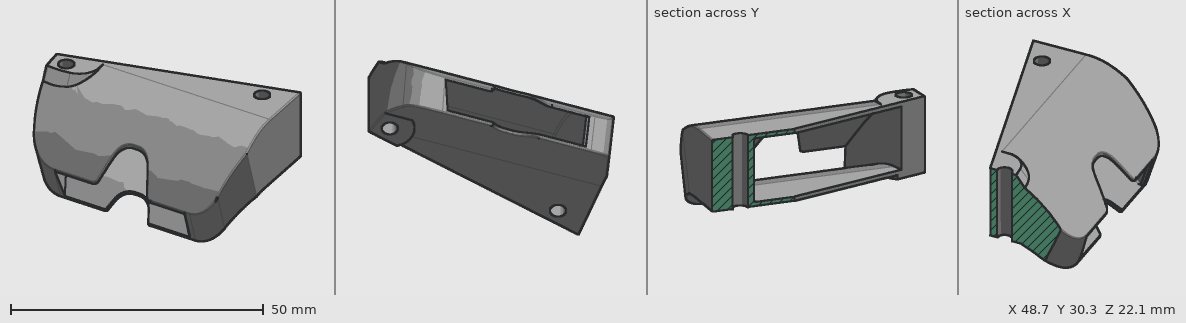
import cadquery as cq
import math


width = 48.72
back_right_y = 30.33
back_angle = 15.0
back_left_y = back_right_y - width * math.tan(math.radians(back_angle))
bottom_z = -22.35
floor_z = -15.2
margin = 10.0

mouth_tilt = 17.0
mouth_top_z = -14.35
rim_trim = 0.028
roof_start_y = 18.67
floor_start_y = 16.5
roof_curve = [(11.02, -2.3), (5.15, -7.04)]
floor_curve = [(5.74, -19.1), (9.55, -16.95)]
roof_end_slope = 57.0
floor_end_slope = 46.0
loft_depth = -28.0
left_middle_upper = (0.6, 11.8)
left_bend_upper = (2.8, 0.6)
left_mouth_upper_x = 9.3
left_middle_lower = (1.6, 5.2)
left_bend_lower = (3.75, 1.3)
left_mouth_lower_x = 10.55
right_shoulder_y = 8.9
right_bend = (46.3, -0.5)
right_mouth_x = 41.4
left_corner_radius = 6.9
right_corner_radius = 5.3

top_wall = 0.97
floor_wall = 0.96
cavity_roof_curve = [(10.5, -3.4), (4.8, -8.35)]
cavity_floor_curve = [(5.3, -18.4), (9.2, -16.1)]
mouth_roof_wall = 0.55
mouth_floor_wall = 0.92
inlet_left_x = 5.67
cavity_right_x = 39.75
mouth_left_top_x = 6.1
mouth_left_bottom_x = 12.2
cavity_edge_radius = 0.4
mouth_flare = 0.5

notch_x = 25.58
notch_tilt = 2.0
notch_apex_y = 5.3
notch_apex_half = 2.88
notch_flare = 0.52
notch_radius = 3.7

hole_diameter = 3.2
left_hole = (3.67, 15.1)
right_hole = (42.66, 25.57)
boss_left = (-4.0, 13.7)
boss_front = (3.67, 12.53)
boss_shoulder = (6.0, 12.75)
boss_right = (9.95, 16.6)
boss_taper = 37.0
boss_depth = 4.0
lower_boss_radius = 4.9
lower_boss_z = -16.08

edge_radius = 0.3
roof_lip_corner_radius = 1.4
roof_lip_corners = [(19.7, 0, -14.6), (31.3, 0, -14.6)]
floor_lip_corner_radius = 0.4
floor_lip_corners = [(20.7, 2.3, -21.9), (30.3, 2.3, -21.9)]
roof_rim = [
    (0.2, 15, 0),
    (0.6, 11.7, -1.2),
    (2, 7, -5),
    (6, 1.5, -12),
    (14, 0, -14.35),
    (20.8, 2, -11.1),
    (22.8, 4.9, -7.3),
    (25.5, 5.5, -6.6),
    (28.2, 4.9, -7.3),
    (30.2, 2, -11.1),
    (37, 0, -14.35),
    (44, 1, -12),
    (47.5, 6, -6),
    (48.72, 14, -1),
    (48.72, 24, 0),
]
floor_rim = [
    (0.6, 14.4, -16.08),
    (2.5, 9, -17),
    (6, 4, -21),
    (15.5, 2.4, -22.3),
    (21.3, 3.3, -21.4),
    (22.9, 5.4, -19.4),
    (25.5, 6, -18.9),
    (28.1, 5.4, -19.4),
    (29.7, 3.3, -21.4),
    (35.5, 2.4, -22.3),
    (44, 3.5, -21),
    (47.5, 9.5, -17),
    (48.72, 15, -15.3),
    (48.72, 23, -15.2),
]


def mouth_y(z):
    """Y of the mouth plane at height z."""
    return (mouth_top_z - z) * math.tan(math.radians(mouth_tilt)) - rim_trim


def leaning_plane(tilt):
    """Plane through the origin whose normal leans forward by the tilt angle."""
    lean = math.radians(tilt)
    return cq.Plane(origin=(0, 0, 0), xDir=(1, 0, 0), normal=(0, -math.sin(lean), math.cos(lean)))


def leaning_prism(points, tilt):
    """Leaning prism whose outline, where it crosses z = 0, has the given points."""
    shrink = math.cos(math.radians(tilt))
    outline = [(x, y * shrink) for x, y in points]
    height = 2 * (margin - bottom_z)
    return cq.Workplane(leaning_plane(tilt)).polyline(outline).close().extrude(height, both=True)


def upright_prism(points):
    """Upright prism taller than the part."""
    height = 2 * (margin - bottom_z)
    return cq.Workplane("XY").polyline(points).close().extrude(height, both=True)


def side_profile(roof_points, floor_points, back_y):
    """Side section between a roof curve and a floor curve, extruded along X.

    Both curves are level at the rear and reach their end slopes at the mouth.
    """
    roof_slope = math.radians(roof_end_slope)
    floor_slope = math.radians(floor_end_slope)
    roof_tangents = [(-1, 0), (-math.cos(roof_slope), -math.sin(roof_slope))]
    floor_tangents = [(math.cos(floor_slope), math.sin(floor_slope)), (1, 0)]
    roof_z = roof_points[0][1]
    base_z = floor_points[-1][1]
    return (
        cq.Workplane("YZ")
        .moveTo(back_y, roof_z)
        .lineTo(*roof_points[0])
        .spline(roof_points[1:], tangents=roof_tangents, includeCurrent=True)
        .lineTo(*floor_points[0])
        .spline(floor_points[1:], tangents=floor_tangents, includeCurrent=True)
        .lineTo(back_y, base_z)
        .close()
        .extrude(width)
    )


def nose_outline(depth, left_middle, left_bend, left_mouth_x):
    """Closed outline of the nose across its leaning direction, at a depth along it."""
    lean = math.radians(mouth_tilt)
    front_y = mouth_y(0) * math.cos(lean)
    rear_y = (back_right_y + margin) * math.cos(lean)
    back_corner_y = (back_left_y + depth * math.sin(lean)) / math.cos(lean)
    middle = (left_middle[0], left_middle[1] * math.cos(lean))
    bend = (left_bend[0], left_bend[1] * math.cos(lean))
    return (
        cq.Workplane(leaning_plane(mouth_tilt))
        .workplane(offset=depth)
        .moveTo(0, rear_y)
        .lineTo(0, back_corner_y)
        .spline([middle, bend], includeCurrent=True)
        .radiusArc((left_mouth_x, front_y), -left_corner_radius)
        .lineTo(right_mouth_x, front_y)
        .radiusArc((right_bend[0], right_bend[1] * math.cos(lean)), -right_corner_radius)
        .lineTo(width, right_shoulder_y * math.cos(lean))
        .lineTo(width, rear_y)
        .close()
        .val()
    )


def plan_limit():
    """Body bounded by the side walls, the mouth plane and the slanted rear face.

    The left wall twists so that its rear edge stands upright on the rear face.
    """
    upper = nose_outline(0, left_middle_upper, left_bend_upper, left_mouth_upper_x)
    lower = nose_outline(loft_depth, left_middle_lower, left_bend_lower, left_mouth_lower_x)
    nose = cq.Workplane(cq.Solid.makeLoft([upper, lower], True))
    ahead_of_rear_face = upright_prism(
        [(0, back_left_y), (0, -margin), (width, -margin), (width, back_right_y)]
    )
    return nose.intersect(ahead_of_rear_face)


def round_edges_at(body, points, radius):
    """Round the edge whose middle lies nearest to each point."""
    solid = body.solids().val()
    chosen = []
    for point in points:
        target = cq.Vector(*point)
        nearest = min(solid.Edges(), key=lambda edge: (edge.positionAt(0.5) - target).Length)
        chosen.append(nearest)
    return cq.Workplane(solid.fillet(radius, chosen))


def upper_boss():
    """Tapered pad that keeps the flat top around the left screw hole."""
    outline = (
        cq.Workplane("XY")
        .moveTo(*boss_left)
        .threePointArc(boss_front, boss_shoulder)
        .tangentArcPoint(boss_right, relative=False)
        .lineTo(boss_right[0], back_right_y)
        .lineTo(boss_left[0], back_right_y)
        .close()
    )
    return outline.extrude(-boss_depth, taper=-boss_taper)


def lower_boss():
    """Shallow round pad under the left screw hole."""
    return (
        cq.Workplane("XY", origin=(*left_hole, lower_boss_z))
        .circle(lower_boss_radius)
        .extrude(floor_z + boss_depth - lower_boss_z)
    )


def outer_body():
    """Solid part before hollowing, with sharp edges."""
    roof = [(roof_start_y, 0), *roof_curve, (mouth_y(mouth_top_z), mouth_top_z)]
    floor = [(mouth_y(bottom_z), bottom_z), *floor_curve, (floor_start_y, floor_z)]
    shell = side_profile(roof, floor, back_right_y)
    return shell.union(upper_boss()).union(lower_boss()).intersect(plan_limit())


def cavity_plan(workplane, left_front_x):
    """Outline of the duct seen from above; the left wall slants towards the mouth."""
    rear_y = back_right_y + margin
    inlet_y = back_left_y + inlet_left_x * math.tan(math.radians(back_angle))
    return workplane.polyline(
        [
            (inlet_left_x, rear_y),
            (inlet_left_x, inlet_y),
            (left_front_x, 0),
            (left_front_x, -margin),
            (cavity_right_x, -margin),
            (cavity_right_x, rear_y),
        ]
    ).close()


def right_flare():
    """Bevel that widens the duct at the right edge of the mouth, running along the lean."""
    inner_x = cavity_right_x - mouth_flare
    front_y = mouth_y(0) - mouth_flare
    leg = 3 * mouth_flare
    return leaning_prism([(inner_x, front_y), (inner_x + leg, front_y), (inner_x, front_y + leg)], mouth_tilt)


def cavity():
    """Duct from the inlet to the mouth."""
    roof_z = -top_wall
    base_z = floor_z + floor_wall
    lip_top = mouth_top_z - mouth_roof_wall
    lip_bottom = bottom_z + mouth_floor_wall
    roof = [(roof_start_y, roof_z), *cavity_roof_curve, (mouth_y(lip_top), lip_top)]
    floor = [(mouth_y(lip_bottom), lip_bottom), *cavity_floor_curve, (floor_start_y, base_z)]
    section = side_profile(roof, floor, back_right_y + margin)
    lower_plan = cavity_plan(cq.Workplane("XY", origin=(0, 0, bottom_z)), mouth_left_bottom_x)
    both_plans = cavity_plan(lower_plan.workplane(offset=-bottom_z), mouth_left_top_x)
    duct = section.intersect(both_plans.loft(ruled=True))
    duct = duct.faces(">X").edges("not (|Z or <Y or >Y)").fillet(cavity_edge_radius)
    return duct.union(section.intersect(right_flare()))


def mouth_notch():
    """Flared cutter with a rounded inner end."""
    front_y = -margin
    front_half = notch_apex_half + notch_flare * (notch_apex_y - front_y)
    cutter = leaning_prism(
        [
            (notch_x - front_half, front_y),
            (notch_x + front_half, front_y),
            (notch_x + notch_apex_half, notch_apex_y),
            (notch_x - notch_apex_half, notch_apex_y),
        ],
        notch_tilt,
    )
    for side in (-1, 1):
        apex_corner = (notch_x + side * notch_apex_half, notch_apex_y, 0)
        cutter = cutter.edges(cq.selectors.NearestToPointSelector(apex_corner)).fillet(notch_radius)
    return cutter


def screw_holes():
    return (
        cq.Workplane("XY", origin=(0, 0, bottom_z))
        .pushPoints([left_hole, right_hole])
        .circle(hole_diameter / 2)
        .extrude(-bottom_z)
    )


def rounded(body):
    """Round the notch corners on both lips, then the roof and floor rims."""
    body = round_edges_at(body, roof_lip_corners, roof_lip_corner_radius)
    body = round_edges_at(body, floor_lip_corners, floor_lip_corner_radius)
    body = round_edges_at(body, roof_rim, edge_radius)
    return round_edges_at(body, floor_rim, edge_radius)


hollow_body = outer_body().cut(cavity()).cut(mouth_notch())
result = rounded(hollow_body).cut(screw_holes())